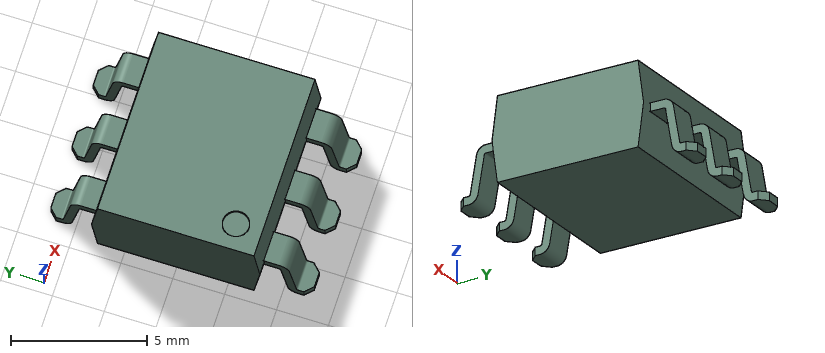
import cadquery as cq
import math

housing_length = 7.3
housing_height = 3.51
parting_width = 6.5
top_width = 6.04

mark_diameter = 1.01
mark_depth = 0.1
mark_x = -2.65
mark_y = -2.0

lead_count = 3
lead_pitch = 2.54
lead_width = 1.21
lead_thickness = 0.35
lead_span = 10.16
knee_y = 4.17
bend_angle = 80.0
bend_inner_radius = 0.07
toe_chamfer = 0.3

bend_outer_radius = bend_inner_radius + lead_thickness
housing_bottom = lead_thickness
housing_top = housing_bottom + housing_height
parting_z = housing_bottom + housing_height / 2
strip_top = parting_z + lead_thickness / 2
strip_bottom = parting_z - lead_thickness / 2
bend_setback = lead_thickness * math.tan(math.radians(bend_angle / 2))
ankle_y = knee_y + (strip_top - lead_thickness) / math.tan(math.radians(bend_angle))
toe_y = lead_span / 2
lead_positions = [(i - (lead_count - 1) / 2) * lead_pitch for i in range(lead_count)]


def make_strip_passage(x):
    """Straight middle stretch of a lead, as long as the space between the two knees."""
    return cq.Workplane("XY").box(lead_width, 2 * knee_y, lead_thickness).translate((x, 0, parting_z))


def make_housing():
    half_parting = parting_width / 2
    half_top = top_width / 2
    body = (
        cq.Workplane("YZ")
        .polyline([
            (-half_top, housing_bottom),
            (half_top, housing_bottom),
            (half_parting, parting_z),
            (half_top, housing_top),
            (-half_top, housing_top),
            (-half_parting, parting_z),
        ])
        .close()
        .extrude(housing_length / 2, both=True)
    )
    mark = (
        cq.Workplane("XY", origin=(mark_x, mark_y, housing_top))
        .circle(mark_diameter / 2)
        .extrude(-mark_depth)
    )
    body = body.cut(mark)
    for x in lead_positions:
        body = body.cut(make_strip_passage(x))
    return body


def make_lead(x):
    knee_outer = (knee_y, strip_top)
    knee_inner = (knee_y - bend_setback, strip_bottom)
    ankle_inner = (ankle_y, lead_thickness)
    ankle_outer = (ankle_y - bend_setback, 0)

    upper_side = [(toe_y, lead_thickness), ankle_inner, knee_outer]
    lower_side = [knee_inner, ankle_outer, (toe_y, 0)]
    upper_mirrored = [(-y, z) for y, z in reversed(upper_side)]
    lower_mirrored = [(-y, z) for y, z in reversed(lower_side)]
    lead = (
        cq.Workplane("YZ")
        .polyline(upper_side + upper_mirrored + lower_mirrored + lower_side)
        .close()
        .extrude(lead_width / 2, both=True)
    )

    bends = [
        (knee_outer, bend_outer_radius),
        (knee_inner, bend_inner_radius),
        (ankle_inner, bend_inner_radius),
        (ankle_outer, bend_outer_radius),
    ]
    for (y, z), radius in bends:
        for side in (-1, 1):
            corner = cq.NearestToPointSelector((0, side * y, z))
            lead = lead.edges(corner).fillet(radius)

    lead = lead.faces("<Y or >Y").edges("|Z").chamfer(toe_chamfer)
    return lead.translate((x, 0, 0))


housing = make_housing()
leads = [make_lead(x) for x in lead_positions]

result = cq.Compound.makeCompound([housing.val(), *[lead.val() for lead in leads]])